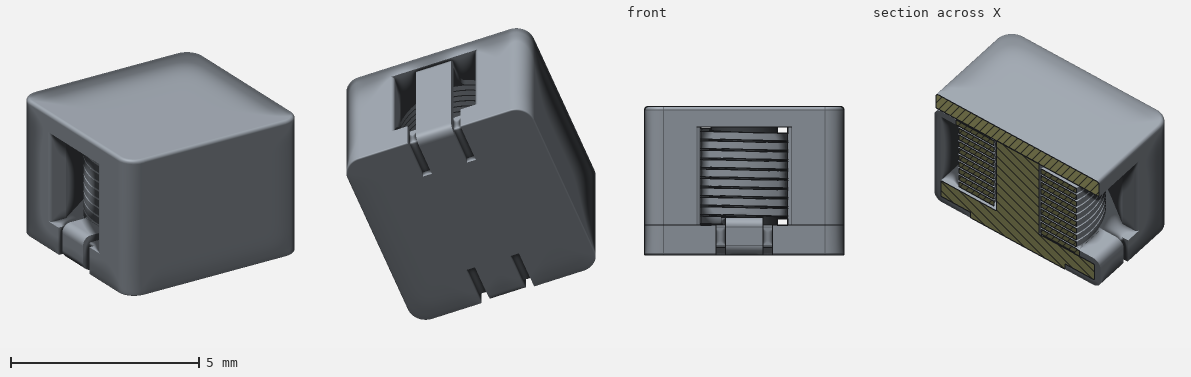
import cadquery as cq
import math


body_x = 5.3
body_y = 5.5
body_height = 3.95
corner_radius = 0.5
base_height = 0.8
top_fillet = 0.1
bottom_fillet = 0.04

ceiling_z = 3.4
chamber_radius = 2.25
opening_width = 2.3
opening_rounding = 0.1

post_radius = 0.88

coil_inner_radius = 0.93
coil_outer_radius = 2.05
wire_height = 0.2
coil_pitch = 0.25
coil_turns = 9.5
coil_clearance = 0.01
coil_bottom = base_height + coil_clearance
coil_rise = coil_pitch * coil_turns

terminal_width = 1.0
terminal_thickness = wire_height
terminal_outer_y = 2.79
terminal_inner_y = terminal_outer_y - terminal_thickness
bend_inner_radius = 0.05
bend_outer_radius = bend_inner_radius + terminal_thickness
foot_end_y = 1.6
arm_fillet = 0.15

notch_width = 1.5


def block(width, y_min, y_max, z_min, z_max):
    """A box centred on X = 0 between the given Y and Z limits."""
    return (
        cq.Workplane("XY")
        .box(width, y_max - y_min, z_max - z_min, centered=(True, False, False))
        .translate((0, y_min, z_min))
    )


def rounded_slab(z_min, z_max):
    """A slab with the rounded-rectangle outline of the body."""
    return block(body_x, -body_y / 2, body_y / 2, z_min, z_max).edges("|Z").fillet(corner_radius)


def to_back(shape):
    """Mirror a feature of the -Y side onto the +Y side."""
    return shape.mirror("XZ")


def make_chamber():
    """Round room around the coil, open through both Y sides."""
    half = opening_width / 2
    mouth = half + opening_rounding
    end_y = body_y / 2
    round_start_y = end_y - opening_rounding
    corner_y = chamber_radius
    corner_angle = math.atan2(corner_y, half)
    touch_angle = corner_angle - math.acos(chamber_radius / math.hypot(half, corner_y))
    touch_x = chamber_radius * math.cos(touch_angle)
    touch_y = chamber_radius * math.sin(touch_angle)
    return (
        cq.Workplane("XY")
        .moveTo(0, -end_y)
        .lineTo(mouth, -end_y)
        .radiusArc((half, -round_start_y), opening_rounding)
        .lineTo(half, -corner_y)
        .lineTo(touch_x, -touch_y)
        .threePointArc((chamber_radius, 0), (touch_x, touch_y))
        .lineTo(half, corner_y)
        .lineTo(half, round_start_y)
        .radiusArc((mouth, end_y), opening_rounding)
        .lineTo(0, end_y)
        .mirrorY()
        .extrude(ceiling_z - base_height)
        .translate((0, 0, base_height))
    )


def make_cover():
    shell = rounded_slab(base_height, body_height).faces(">Z").edges().fillet(top_fillet)
    return shell.cut(make_chamber())


def make_notch():
    """Room for one terminal: a slot in the side wall and a recess for its foot underneath."""
    room = block(notch_width, -body_y / 2, -foot_end_y, 0, base_height)
    kept = (
        block(notch_width, -terminal_inner_y, -foot_end_y, terminal_thickness, base_height)
        .edges("|X and <Y")
        .fillet(bend_inner_radius)
    )
    return room.cut(kept)


def make_base():
    plate = rounded_slab(0, base_height).faces("<Z").edges().fillet(bottom_fillet)
    notch = make_notch()
    plate = plate.cut(notch).cut(to_back(notch))
    post = cq.Workplane("XY").circle(post_radius).extrude(ceiling_z - base_height)
    post = post.translate((0, 0, base_height))
    return plate.union(post)


def make_winding():
    """Left-handed flat-wire helix that starts at the front and ends at the back."""
    mean_radius = (coil_inner_radius + coil_outer_radius) / 2
    path = cq.Wire.makeHelix(coil_pitch, coil_rise, mean_radius, lefthand=True)
    winding = (
        cq.Workplane("XZ")
        .center(mean_radius, 0)
        .rect(coil_outer_radius - coil_inner_radius, wire_height)
        .sweep(cq.Workplane(path), isFrenet=True)
    )
    return winding.rotate((0, 0, 0), (0, 0, 1), -90).translate((0, 0, coil_bottom + wire_height / 2))


def make_arm(arm_bottom):
    """Flat lead from the wire end to the bend, with a fillet where it leaves the round of the coil."""
    half = terminal_width / 2
    bend_y = -terminal_outer_y + bend_outer_radius
    fillet_x = -half - arm_fillet
    fillet_y = -math.sqrt((coil_outer_radius + arm_fillet) ** 2 - fillet_x**2)
    to_coil = coil_outer_radius / (coil_outer_radius + arm_fillet)
    return (
        cq.Workplane("XY")
        .moveTo(-half, bend_y)
        .lineTo(half, bend_y)
        .lineTo(half, -coil_outer_radius)
        .lineTo(-half, -coil_outer_radius + arm_fillet)
        .lineTo(fillet_x * to_coil, fillet_y * to_coil)
        .radiusArc((-half, fillet_y), arm_fillet)
        .close()
        .extrude(terminal_thickness)
        .translate((0, 0, arm_bottom))
    )


def make_terminal(arm_bottom):
    """Lead on the -Y side: the arm, a bend down along the side, and a foot under the base."""
    arm_top = arm_bottom + terminal_thickness
    outside = (
        block(terminal_width, -terminal_outer_y, -foot_end_y, 0, arm_top)
        .edges("|X and <Y")
        .fillet(bend_outer_radius)
    )
    inside = (
        block(terminal_width, -terminal_inner_y, -foot_end_y, terminal_thickness, arm_bottom)
        .edges("|X and <Y")
        .fillet(bend_inner_radius)
    )
    return outside.cut(inside).union(make_arm(arm_bottom))


def make_wire_end(wire_bottom):
    """Straight end of the wire on the -Y side, as wide as the terminal that leaves it."""
    return block(
        terminal_width, -coil_outer_radius, -coil_inner_radius, wire_bottom, wire_bottom + wire_height
    )


def make_coil():
    front_end = make_wire_end(coil_bottom).union(make_terminal(base_height))
    back_end = make_wire_end(coil_bottom + coil_rise).union(make_terminal(base_height + coil_rise))
    return make_winding().union(front_end).union(to_back(back_end))


cover = make_cover()
base = make_base()
coil = make_coil()

result = cq.Compound.makeCompound([cover.solids().val(), base.solids().val(), coil.solids().val()])